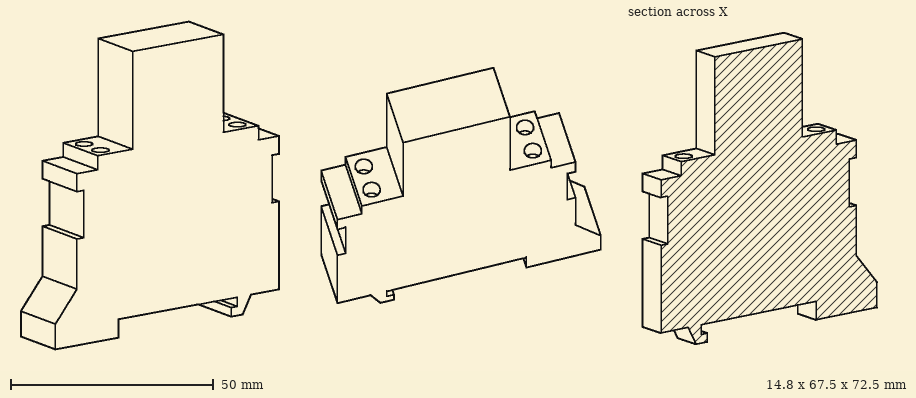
import cadquery as cq

width = 14.8

body_length = 61.0
body_half = body_length / 2
body_bottom = 4.7

groove_depth = 2.1
groove_bottom = 27.2
groove_top = 39.3
lip_top = 43.9
shoulder_inset = 6.25
shoulder_top = 47.5
groove_y = body_half - groove_depth
shoulder_y = body_half - shoulder_inset

block_length = 27.4
block_height = 25.0
block_y = block_length / 2
block_top = shoulder_top + block_height

foot_length = 19.1
foot_projection = 6.5
foot_face_height = 6.5
foot_slope_top = 14.4
foot_outer_y = -body_half - foot_projection
foot_inner_y = foot_outer_y + foot_length

hook_root_y = body_half - 8.5
hook_heel_y = body_half - 11.0
hook_inner_y = body_half - 12.65
hook_tip_y = body_half - 14.5
hook_tip_height = 2.35

hole_diameter = 4.2
hole_spacing_x = 7.0
hole_spacing_y = 41.3
hole_depth = 5.0


def make_body():
    """Extrude the side outline across the full width."""
    upper_half = [
        (body_half, groove_bottom),
        (groove_y, groove_bottom),
        (groove_y, groove_top),
        (body_half, groove_top),
        (body_half, lip_top),
        (shoulder_y, lip_top),
        (shoulder_y, shoulder_top),
        (block_y, shoulder_top),
        (block_y, block_top),
    ]
    mirrored_half = [(-y, z) for y, z in reversed(upper_half)]
    foot = [
        (-body_half, foot_slope_top),
        (foot_outer_y, foot_face_height),
        (foot_outer_y, 0),
        (foot_inner_y, 0),
        (foot_inner_y, body_bottom),
    ]
    hook = [
        (hook_inner_y, body_bottom),
        (hook_inner_y, hook_tip_height),
        (hook_tip_y, hook_tip_height),
        (hook_tip_y, 0),
        (hook_heel_y, 0),
        (hook_root_y, body_bottom),
    ]
    body_corner = [(body_half, body_bottom)]
    outline = upper_half + mirrored_half + foot + hook + body_corner
    return cq.Workplane("YZ").polyline(outline).close().extrude(width / 2, both=True)


def make_screw_holes():
    """Four blind holes sunk from the shoulder level."""
    return (
        cq.Workplane("XY", origin=(0, 0, shoulder_top))
        .rarray(hole_spacing_x, hole_spacing_y, 2, 2)
        .circle(hole_diameter / 2)
        .extrude(-hole_depth)
    )


result = make_body().cut(make_screw_holes())